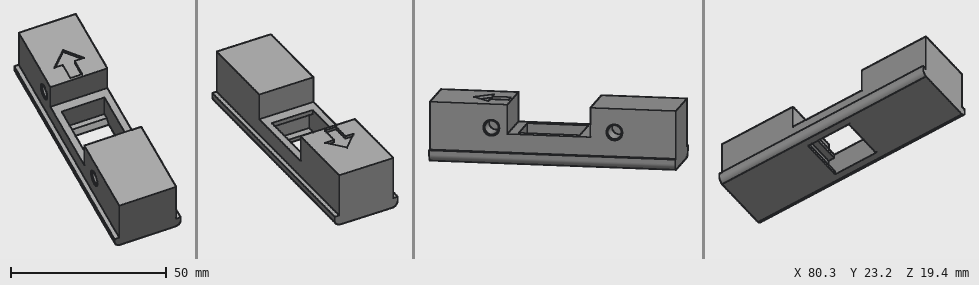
import cadquery as cq

length = 80.3
rail_width = 23.2
height = 19.35
body_width = 20.0
rail_height = 3.7
rail_edge_radius = 2.2

notch_left = -14.85
notch_right = 12.2
deck_height = 9.7

window_width = 15.0
window_left = -11.6
window_right = 8.35
right_ledge_height = 1.4
lip_thickness = 1.6
undercut_depth = 2.25
bottom_opening_half_length = 8.0
bevel_size = 1.6

hole_diameter = 4.5
hole_chamfer = 0.4
hole_depth = 8.0
hole_offset = 20.1
hole_height = 11.6

arrow_depth = 1.0
arrow_tip = (-27.7, 0.1)
arrow_neck_x = -21.9
arrow_tail_x = -15.8
arrow_head_top = 5.0
arrow_head_bottom = -5.55
arrow_shaft_top = 1.6
arrow_shaft_bottom = -2.6


def box_between(x_min, x_max, width, z_min, z_max):
    """Box centred across Y, spanning the given X and Z ranges."""
    return (
        cq.Workplane("XY", origin=((x_min + x_max) / 2, 0, z_min))
        .box(x_max - x_min, width, z_max - z_min, centered=(True, True, False))
    )


def make_body():
    """Block standing on a wider base whose lower long edges are rounded."""
    base = box_between(-length / 2, length / 2, rail_width, 0, rail_height)
    base = base.edges("|X and <Z").fillet(rail_edge_radius)
    block = box_between(-length / 2, length / 2, body_width, 0, height)
    notch = box_between(notch_left, notch_right, body_width, deck_height, height)
    return base.union(block).cut(notch)


def make_window():
    """Lengthwise section of the window, extruded across its width."""
    undercut_x = window_right + undercut_depth
    lip_bottom = deck_height - lip_thickness
    section = [
        (window_left, deck_height),
        (window_right, deck_height),
        (window_right, lip_bottom),
        (undercut_x, lip_bottom),
        (undercut_x, right_ledge_height),
        (bottom_opening_half_length, right_ledge_height),
        (bottom_opening_half_length, 0),
        (-bottom_opening_half_length, 0),
        (-bottom_opening_half_length - bevel_size, bevel_size),
        (window_left, bevel_size),
    ]
    return cq.Workplane("XZ").polyline(section).close().extrude(window_width / 2, both=True)


def make_hole(x):
    """Blind hole entering from the -Y wall, with a chamfered mouth."""
    mouth = cq.Workplane("XZ", origin=(x, -body_width / 2, hole_height))
    bore = mouth.circle(hole_diameter / 2).extrude(-hole_depth)
    countersink = (
        mouth.circle(hole_diameter / 2 + hole_chamfer)
        .workplane(offset=-hole_chamfer)
        .circle(hole_diameter / 2)
        .loft()
    )
    return bore.union(countersink)


def make_arrow():
    """Arrow-shaped pocket in the top of the left block."""
    outline = [
        arrow_tip,
        (arrow_neck_x, arrow_head_top),
        (arrow_neck_x, arrow_shaft_top),
        (arrow_tail_x, arrow_shaft_top),
        (arrow_tail_x, arrow_shaft_bottom),
        (arrow_neck_x, arrow_shaft_bottom),
        (arrow_neck_x, arrow_head_bottom),
    ]
    top = cq.Workplane("XY", origin=(0, 0, height))
    return top.polyline(outline).close().extrude(-arrow_depth)


result = make_body().cut(make_window()).cut(make_arrow())
for hole_x in (-hole_offset, hole_offset):
    result = result.cut(make_hole(hole_x))